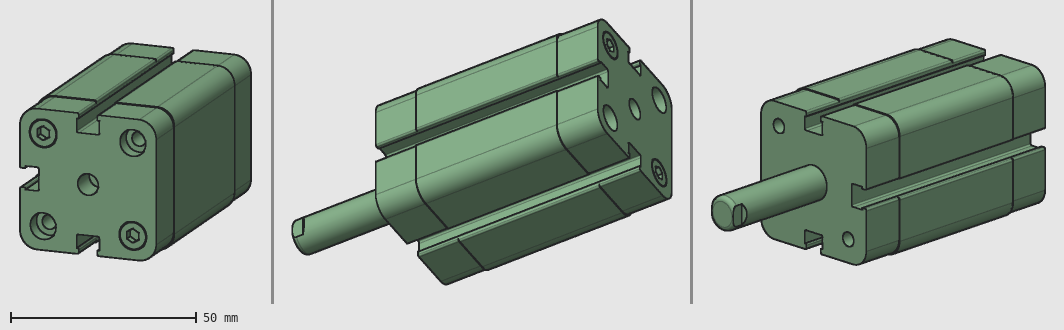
import cadquery as cq
import math

TOTAL_LENGTH = 105
ROD_LENGTH = 35.5
CAP_LENGTH = 12.7
body_length = TOTAL_LENGTH - ROD_LENGTH
tube_length = body_length - 2 * CAP_LENGTH

TUBE_WIDTH = 40.1
TUBE_STEP = 0.26
CORNER_RADIUS = 5.0
cap_width = TUBE_WIDTH - 2 * TUBE_STEP

SLOT_MOUTH_WIDTH = 5.4
SLOT_INNER_WIDTH = 6.6
SLOT_DEPTH = 5.8
SLOT_LIP = 1.9
SLOT_MOUTH_RADIUS = 0.5
SLOT_FLOOR_RADIUS = 0.5
SLOT_LIP_RADIUS = 0.3
slot_floor = TUBE_WIDTH / 2 - SLOT_DEPTH
slot_shoulder = TUBE_WIDTH / 2 - SLOT_LIP
SLOT_ANGLES = (0, 90, 180)

ROD_DIAMETER = 10.0
TIP_RADIUS = 1.4
FLAT_WIDTH = 8.0
FLAT_LENGTH = 3.5

CENTER_HOLE_DIAMETER = 6.0
CENTER_HOLE_DEPTH = 8.4
CORNER_OFFSET = 13.0
MOUNT_HOLE_DIAMETER = 4.1
MOUNT_BORE_DIAMETER = 7.5
MOUNT_BORE_DEPTH = 4.5

SCREW_BORE_DIAMETER = 8.0
SCREW_HEAD_DIAMETER = 7.5
SCREW_GAP_DEPTH = 4.2
HEX_SIDES = 6
HEX_ACROSS_FLATS = 3.5
HEX_DEPTH = 2.5

mount_positions = [(CORNER_OFFSET, CORNER_OFFSET), (-CORNER_OFFSET, -CORNER_OFFSET)]
screw_positions = [(-CORNER_OFFSET, CORNER_OFFSET), (CORNER_OFFSET, -CORNER_OFFSET)]


def section_plane(y):
    """Plane across the body at y: local x is +X, local y is +Z, normal is -Y."""
    return cq.Workplane("XZ", origin=(0, y, 0))


def t_slot(width, y, length, angle):
    """Cutter for the T-slot in a bar of the given width, turned about Y from the top side."""
    surface = width / 2
    mouth_x = SLOT_MOUTH_WIDTH / 2
    inner_x = SLOT_INNER_WIDTH / 2
    half = (
        section_plane(y)
        .moveTo(0, slot_floor)
        .lineTo(inner_x - SLOT_FLOOR_RADIUS, slot_floor)
        .radiusArc((inner_x, slot_floor + SLOT_FLOOR_RADIUS), -SLOT_FLOOR_RADIUS)
        .lineTo(inner_x, slot_shoulder)
        .lineTo(mouth_x + SLOT_LIP_RADIUS, slot_shoulder)
        .radiusArc((mouth_x, slot_shoulder + SLOT_LIP_RADIUS), SLOT_LIP_RADIUS)
        .lineTo(mouth_x, surface - SLOT_MOUTH_RADIUS)
        .radiusArc((mouth_x + SLOT_MOUTH_RADIUS, surface), SLOT_MOUTH_RADIUS)
        .lineTo(0, surface)
        .close()
        .extrude(-length)
    )
    return half.union(half.mirror("YZ")).rotate((0, 0, 0), (0, 1, 0), -angle)


def slotted_bar(width, y, length):
    """Square bar with rounded long edges and T-slots, running from y toward +Y."""
    bar = section_plane(y).rect(width, width).extrude(-length).edges("|Y").fillet(CORNER_RADIUS)
    for angle in SLOT_ANGLES:
        bar = bar.cut(t_slot(width, y, length, angle))
    return bar


def body():
    front_cap = slotted_bar(cap_width, 0, CAP_LENGTH)
    tube = slotted_bar(TUBE_WIDTH, CAP_LENGTH, tube_length)
    rear_cap = slotted_bar(cap_width, CAP_LENGTH + tube_length, CAP_LENGTH)
    return front_cap.union(tube).union(rear_cap)


def piston_rod():
    """Round rod along Y, with wrench flats that run out at 45 degrees."""
    radius = ROD_DIAMETER / 2
    rod = section_plane(body_length).circle(radius).extrude(-ROD_LENGTH)
    rod = rod.faces(">Y").edges().fillet(TIP_RADIUS)
    flat_x = FLAT_WIDTH / 2
    flat_end = TOTAL_LENGTH - FLAT_LENGTH
    run_out = radius - flat_x
    for side in (1, -1):
        cutter = (
            cq.Workplane("XY")
            .polyline([
                (side * flat_x, TOTAL_LENGTH),
                (side * flat_x, flat_end),
                (side * radius, flat_end - run_out),
                (side * radius, TOTAL_LENGTH),
            ])
            .close()
            .extrude(radius, both=True)
        )
        rod = rod.cut(cutter)
    return rod


def front_holes(diameter, depth, positions):
    return section_plane(0).pushPoints(positions).circle(diameter / 2).extrude(-depth)


def screw_recesses():
    """Ring gaps around the screw heads and their hexagonal sockets."""
    recesses = front_holes(SCREW_BORE_DIAMETER, SCREW_GAP_DEPTH, screw_positions).cut(
        front_holes(SCREW_HEAD_DIAMETER, SCREW_GAP_DEPTH, screw_positions)
    )
    hex_diameter = HEX_ACROSS_FLATS / math.cos(math.pi / HEX_SIDES)
    for x, z in screw_positions:
        socket = section_plane(0).polygon(HEX_SIDES, hex_diameter).extrude(-HEX_DEPTH)
        recesses = recesses.union(socket.rotate((0, 0, 0), (0, 1, 0), 90).translate((x, 0, z)))
    return recesses


result = body().union(piston_rod())
result = result.cut(front_holes(CENTER_HOLE_DIAMETER, CENTER_HOLE_DEPTH, [(0, 0)]))
result = result.cut(front_holes(MOUNT_BORE_DIAMETER, MOUNT_BORE_DEPTH, mount_positions))
result = result.cut(front_holes(MOUNT_HOLE_DIAMETER, body_length, mount_positions))
result = result.cut(screw_recesses())